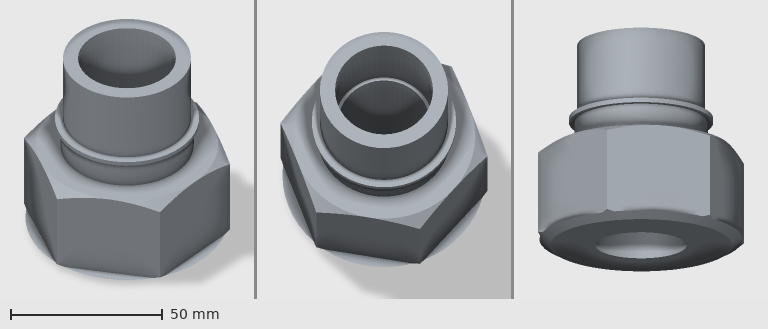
import cadquery as cq
import math

corner_diameter = 69.3
flat_width = corner_diameter * math.cos(math.radians(30))
chamfer_angle = 30.0
chamfer_height = (corner_diameter - flat_width) / 2 * math.tan(math.radians(chamfer_angle))
nut_top = 32.5

skirt_diameter = 66.9
skirt_height = (skirt_diameter - flat_width) / 2 * math.tan(math.radians(chamfer_angle))

neck_diameter = 44.0
collar_diameter = 47.5
collar_bottom = 42.1
collar_thickness = 1.5
collar_top = collar_bottom + collar_thickness
pipe_diameter = 42.2
total_height = 68.5

bore_diameter = 30.0
socket_diameter = 32.2


def cylinder(diameter, bottom, top):
    return cq.Workplane("XY").workplane(offset=bottom).circle(diameter / 2).extrude(top - bottom)


def turned_profile(points):
    """Revolve an outline of (radius, height) points about the Z axis."""
    return cq.Workplane("XZ").polyline(points).close().revolve(360, (0, 0), (0, 1))


def make_nut():
    hexagon = cq.Workplane("XY").polygon(6, corner_diameter).extrude(nut_top)
    hexagon = hexagon.rotate((0, 0, 0), (0, 0, 1), 90)
    flat_radius = flat_width / 2
    corner_radius = corner_diameter / 2
    chamfer_envelope = turned_profile([
        (0, 0),
        (flat_radius, 0),
        (corner_radius, chamfer_height),
        (corner_radius, nut_top - chamfer_height),
        (flat_radius, nut_top),
        (0, nut_top),
    ])
    skirt = cylinder(skirt_diameter, 0, skirt_height)
    return hexagon.union(skirt).intersect(chamfer_envelope)


def make_stem():
    neck = cylinder(neck_diameter, nut_top, collar_bottom)
    collar = cylinder(collar_diameter, collar_bottom, collar_top)
    pipe = cylinder(pipe_diameter, collar_top, total_height)
    return neck.union(collar).union(pipe)


def make_bore():
    through_bore = cylinder(bore_diameter, 0, total_height)
    socket = cylinder(socket_diameter, collar_top, total_height)
    return through_bore.union(socket)


result = make_nut().union(make_stem()).cut(make_bore())